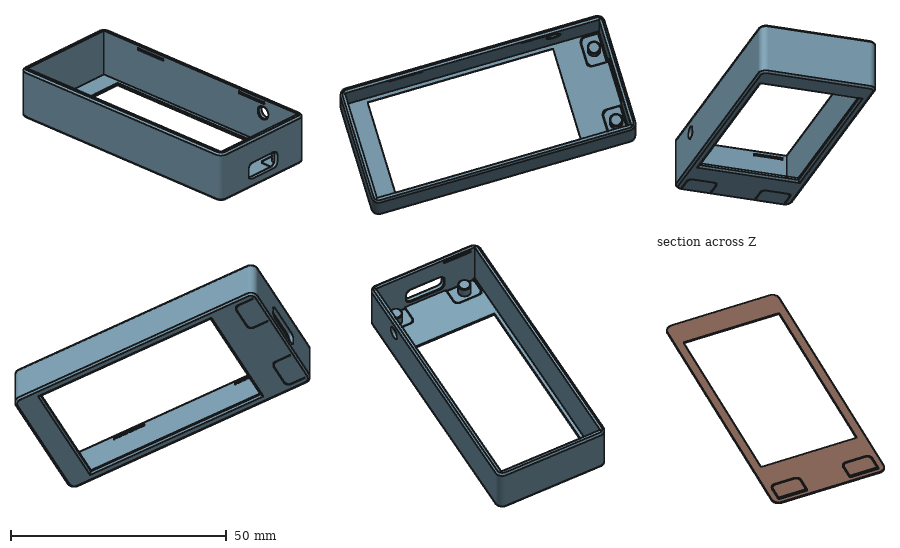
import cadquery as cq

LENGTH = 63.8
WIDTH = 28.4
HEIGHT = 12.4
WALL = 1.2
FLOOR = 1.0
CORNER_RADIUS = 1.8
RIM_CHAMFER = 0.5
INNER_LENGTH = LENGTH - 2 * WALL
INNER_WIDTH = WIDTH - 2 * WALL
INNER_X = INNER_LENGTH / 2
INNER_Y = INNER_WIDTH / 2

WINDOW_LENGTH = 44.8
WINDOW_WIDTH = 24.1
WINDOW_X = -3.1
WINDOW_CHAMFER = 0.5

BUTTON_Y = 9.0
BUTTON_WIDTH = 7.0
BUTTON_LEFT = 25.95
BUTTON_CORNER_RADIUS = 1.2
SLIT = 0.15
HINGE_WIDTH = 0.4
HINGE_DEPTH = 0.4
PIN_X = 28.3
PIN_DIAMETER = 3.0
PIN_TOP = 3.6
PIN_CHAMFER = 0.2

HOLE_DIAMETER = 3.0
HOLE_X = 19.7
HOLE_Z = 8.8

PORT_WIDTH = 9.8
PORT_HEIGHT = 4.2
PORT_RADIUS = 1.3
PORT_Z = 4.35

OPENING_CHAMFER = 0.2

GROOVE_BOTTOM = 11.2
GROOVE_HEIGHT = 0.5
GROOVE_DEPTH = 0.5
SIDE_GROOVE_LENGTH = 8.0
SIDE_GROOVE_X = 16.0
END_GROOVE_LENGTH = 7.0
END_GROOVE_Y = -8.5


def box(x_size, y_size, z_size, x, y, z_bottom):
    """Box centred on (x, y) and standing on z_bottom."""
    block = cq.Workplane("XY").box(x_size, y_size, z_size, centered=(True, True, False))
    return block.translate((x, y, z_bottom))


def case():
    """Hollow box whose window widens towards the underside."""
    outer = box(LENGTH, WIDTH, HEIGHT, 0, 0, 0).edges("|Z").fillet(CORNER_RADIUS)
    outer = outer.faces("<Z or >Z").edges().chamfer(RIM_CHAMFER)
    cavity = box(INNER_LENGTH, INNER_WIDTH, HEIGHT, 0, 0, FLOOR)
    window = box(WINDOW_LENGTH, WINDOW_WIDTH, FLOOR, WINDOW_X, 0, 0)
    flare = box(
        WINDOW_LENGTH + 2 * WINDOW_CHAMFER,
        WINDOW_WIDTH + 2 * WINDOW_CHAMFER,
        FLOOR,
        WINDOW_X,
        0,
        WINDOW_CHAMFER - FLOOR,
    )
    flare = flare.faces(">Z").chamfer(WINDOW_CHAMFER)
    return outer.cut(cavity).cut(window).cut(flare)


def button_outline(margin):
    """Button-shaped block through the floor, grown by margin and ending at the +X wall."""
    left = BUTTON_LEFT - margin
    block = box(INNER_X - left, BUTTON_WIDTH + 2 * margin, FLOOR, (INNER_X + left) / 2, 0, 0)
    return block.edges("|Z and <X").fillet(BUTTON_CORNER_RADIUS)


def button_cut():
    """U-shaped slit around a button and the groove that thins its hinge."""
    slit = button_outline(SLIT).cut(button_outline(0))
    hinge = box(HINGE_WIDTH, BUTTON_WIDTH, HINGE_DEPTH, INNER_X - HINGE_WIDTH / 2, 0, FLOOR - HINGE_DEPTH)
    return slit.union(hinge)


def button_pin():
    """Chamfered pin rising from the underside of the floor."""
    pin = cq.Workplane("XY").circle(PIN_DIAMETER / 2).extrude(PIN_TOP)
    return pin.faces(">Z").chamfer(PIN_CHAMFER).translate((PIN_X, 0, 0))


def side_hole():
    """Hole along Y, countersunk at the inner face of the +Y wall."""
    rim_radius = HOLE_DIAMETER / 2 + OPENING_CHAMFER
    profile = [
        (0, 0),
        (rim_radius, 0),
        (HOLE_DIAMETER / 2, OPENING_CHAMFER),
        (HOLE_DIAMETER / 2, WALL),
        (0, WALL),
    ]
    hole = cq.Workplane("XY").polyline(profile).close().revolve(360, (0, 0), (0, 1))
    return hole.translate((HOLE_X, INNER_Y, HOLE_Z))


def port():
    """Rounded opening along X, chamfered at the inner face of the +X wall."""
    grown = 2 * OPENING_CHAMFER
    opening = box(WALL, PORT_WIDTH, PORT_HEIGHT, WALL / 2, 0, -PORT_HEIGHT / 2)
    opening = opening.edges("|X").fillet(PORT_RADIUS)
    flare = box(WALL, PORT_WIDTH + grown, PORT_HEIGHT + grown, WALL / 2, 0, -PORT_HEIGHT / 2 - OPENING_CHAMFER)
    flare = flare.edges("|X").fillet(PORT_RADIUS + OPENING_CHAMFER)
    flare = flare.faces(">X").chamfer(OPENING_CHAMFER)
    flare = flare.translate((OPENING_CHAMFER - WALL, 0, 0))
    return opening.union(flare).translate((INNER_X, 0, PORT_Z))


def snap_grooves():
    """Two grooves in the +Y wall and one in the +X wall."""
    side_y = INNER_Y + GROOVE_DEPTH / 2
    end_x = INNER_X + GROOVE_DEPTH / 2
    grooves = box(GROOVE_DEPTH, END_GROOVE_LENGTH, GROOVE_HEIGHT, end_x, END_GROOVE_Y, GROOVE_BOTTOM)
    for x in (-SIDE_GROOVE_X, SIDE_GROOVE_X):
        groove = box(SIDE_GROOVE_LENGTH, GROOVE_DEPTH, GROOVE_HEIGHT, x, side_y, GROOVE_BOTTOM)
        grooves = grooves.union(groove)
    return grooves


result = case().cut(side_hole()).cut(port()).cut(snap_grooves())
for y in (-BUTTON_Y, BUTTON_Y):
    result = result.cut(button_cut().translate((0, y, 0)))
    result = result.union(button_pin().translate((0, y, 0)))